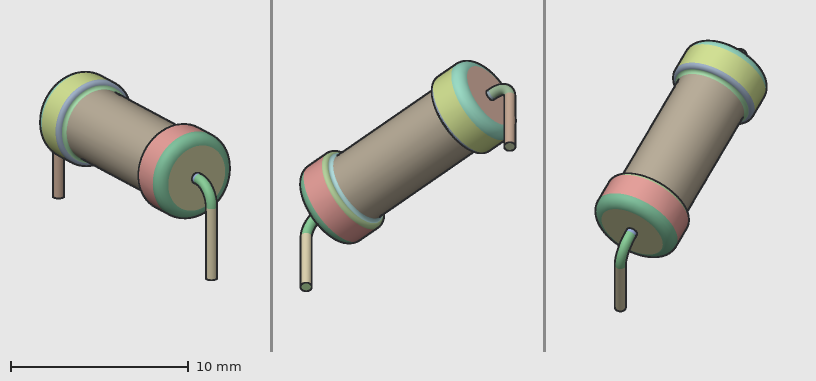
import cadquery as cq

overall_length = 16.15
body_length = 12.5
cap_diameter = 5.1
cap_length = 2.28
barrel_diameter = 4.2
end_fillet = 0.63
root_fillet = 0.2

wire_diameter = 0.65
bend_radius = 1.28
lead_drop = 5.55

half_body = body_length / 2
cap_radius = cap_diameter / 2
barrel_radius = barrel_diameter / 2
shoulder_fillet = cap_radius - barrel_radius - root_fillet
lead_x = overall_length / 2 - wire_diameter / 2


def make_body():
    """Barrel with a wider, rounded cap at each end, revolved about X."""
    inner_cap_x = half_body - cap_length
    rim_radius = barrel_radius + root_fillet
    profile = (
        cq.Workplane("XZ")
        .moveTo(-half_body, 0)
        .lineTo(-half_body, cap_radius - end_fillet)
        .tangentArcPoint((-half_body + end_fillet, cap_radius), relative=False)
        .lineTo(-inner_cap_x - shoulder_fillet, cap_radius)
        .tangentArcPoint((-inner_cap_x, rim_radius), relative=False)
        .tangentArcPoint((-inner_cap_x + root_fillet, barrel_radius), relative=False)
        .lineTo(inner_cap_x - root_fillet, barrel_radius)
        .tangentArcPoint((inner_cap_x, rim_radius), relative=False)
        .tangentArcPoint((inner_cap_x + shoulder_fillet, cap_radius), relative=False)
        .lineTo(half_body - end_fillet, cap_radius)
        .tangentArcPoint((half_body, cap_radius - end_fillet), relative=False)
        .lineTo(half_body, 0)
        .close()
    )
    return profile.revolve(360, (0, 0, 0), (1, 0, 0))


def make_lead(side):
    """Round wire from an end face, bent down; side is -1 or +1."""
    bend_start_x = lead_x - bend_radius
    path = (
        cq.Workplane("XZ")
        .moveTo(side * half_body, 0)
        .lineTo(side * bend_start_x, 0)
        .tangentArcPoint((side * lead_x, -bend_radius), relative=False)
        .lineTo(side * lead_x, -lead_drop)
    )
    wire_section = cq.Workplane("YZ", origin=(side * half_body, 0, 0)).circle(wire_diameter / 2)
    return wire_section.sweep(path)


body = make_body()
leads = [make_lead(side) for side in (-1, 1)]

result = cq.Compound.makeCompound([body.val(), *[lead.val() for lead in leads]])